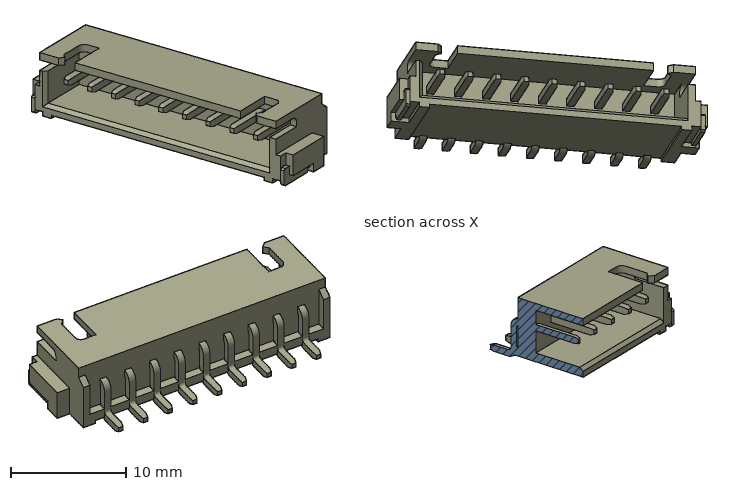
import cadquery as cq

total_width = 27.5
total_depth = 10.0
total_height = 6.0

ear_width = 1.26
body_half_width = total_width / 2 - ear_width
body_depth = 7.8
roof_depth = 7.0
wall = 0.65
roof_thickness = 0.72
roof_underside = total_height - roof_thickness
floor_underside = 0.3
floor_top = 1.2
cavity_depth = 5.05
cavity_half_width = body_half_width - wall
lead_in = 0.33
foot_width = 2.5

rear_bevel_top = 5.0
rear_bevel_bottom = 4.4

corner_radius = 0.58
side_slot_bottom = 4.3
side_slot_depth = 3.15
roof_slot_outer = body_half_width - 1.98
roof_slot_inner = body_half_width - 3.75
roof_slot_depth = 3.68
barb = 0.4

ear_length = 5.5
ear_height = 2.8
ear_notch_width = 0.77
ear_notch_depth = 0.8
ear_undercut_height = 0.82
ear_undercut_length = 3.9

tab_inner = total_width / 2 - ear_notch_width
tab_thickness = 0.38
tab_height = 1.65
tab_chamfer = 0.16
tab_rear_step_length = 0.28
tab_rear_step_height = 0.4

relief_width = 0.82

pin_count = 9
pin_pitch = 2.5
pin_size = 0.65
pin_bottom = 3.3
pin_tip = 0.47
pin_taper_length = 0.4
pin_taper = 0.1
riser_back = body_depth
bend_inner_radius = 0.28


def block(x0, x1, y0, y1, z0, z1):
    """Box between two corners."""
    return cq.Workplane("XY").box(x1 - x0, y1 - y0, z1 - z0, centered=False).translate((x0, y0, z0))


def profile_yz(points, x0, x1):
    """Prism from a closed outline of (y, z) points, running from x0 to x1."""
    return cq.Workplane("YZ").polyline(points).close().extrude(x1 - x0).translate((x0, 0, 0))


def mirrored(shape, side):
    """The shape itself on the +X side, its mirror image on the -X side."""
    return shape if side > 0 else shape.mirror("YZ")



def shell():
    """Outer block with the rear bevel, standing on two feet."""
    body = profile_yz(
        [
            (0, 0),
            (body_depth, 0),
            (body_depth, rear_bevel_bottom),
            (roof_depth, rear_bevel_top),
            (roof_depth, total_height),
            (0, total_height),
        ],
        -body_half_width,
        body_half_width,
    )
    foot_inner = total_width / 2 - foot_width
    underside_gap = block(-foot_inner, foot_inner, 0, body_depth, 0, floor_underside)
    rear_recess = block(
        -cavity_half_width, cavity_half_width, roof_depth, body_depth, floor_top, total_height
    )
    return body.cut(underside_gap).cut(rear_recess)


def cavity():
    """Mating cavity, with a lead-in along the floor and the -X wall."""
    main = block(
        -cavity_half_width, cavity_half_width, 0, cavity_depth, floor_top, roof_underside
    )
    mouth_width = 2 * cavity_half_width + lead_in
    mouth_height = side_slot_bottom - floor_top + lead_in
    mouth_centre = (-lead_in / 2, 0, side_slot_bottom - mouth_height / 2)
    mouth = (
        cq.Workplane("XZ", origin=mouth_centre)
        .rect(mouth_width, mouth_height)
        .workplane(offset=-lead_in)
        .center(lead_in / 2, lead_in / 2)
        .rect(mouth_width - lead_in, mouth_height - lead_in)
        .loft(ruled=True)
    )
    return main.union(mouth)


def side_slot():
    """Opening through both side walls under the roof, rounded at its upper rear corner."""
    return block(
        -body_half_width, body_half_width, 0, side_slot_depth, side_slot_bottom, roof_underside
    ).edges("|X and >Y and >Z").fillet(corner_radius)


def roof_slot():
    """Latch opening in the roof on the +X side, with a barb at its mouth."""
    return (
        cq.Workplane("XY")
        .moveTo(roof_slot_inner, 0)
        .lineTo(roof_slot_outer, 0)
        .lineTo(roof_slot_outer - barb, barb)
        .lineTo(roof_slot_outer, 2 * barb)
        .lineTo(roof_slot_outer, roof_slot_depth - corner_radius)
        .radiusArc((roof_slot_outer - corner_radius, roof_slot_depth), -corner_radius)
        .lineTo(roof_slot_inner, roof_slot_depth)
        .close()
        .extrude(roof_thickness)
        .translate((0, 0, roof_underside))
    )


def ear():
    """Mounting ear on the +X side, notched at the front and undercut for the solder tab."""
    outer = total_width / 2
    blank = block(body_half_width, outer, 0, ear_length, 0, ear_height)
    notch = block(tab_inner, outer, 0, ear_notch_depth, 0, ear_height)
    undercut = block(tab_inner, outer, 0, ear_undercut_length, 0, ear_undercut_height)
    return blank.cut(notch).cut(undercut)


def tab_relief():
    """Clearance under the body on the +X side, open at the front and towards the solder tab."""
    return block(
        tab_inner - relief_width, tab_inner, 0, ear_undercut_length, 0, tab_rear_step_height
    )


def pin():
    """One pin at X = 0: a contact through the rear wall, a riser behind it and a tail on the solder plane."""
    half = pin_size / 2
    contact_start = pin_tip + pin_taper_length
    contact_top = pin_bottom + pin_size
    tail_end = total_depth - pin_taper_length
    riser_front = riser_back - pin_size
    outer_radius = bend_inner_radius + pin_size
    upper_bend_y = riser_back - outer_radius
    upper_bend_z = contact_top - outer_radius
    lower_bend_y = riser_back + bend_inner_radius

    bent_bar = (
        cq.Workplane("YZ")
        .moveTo(contact_start, contact_top)
        .lineTo(upper_bend_y, contact_top)
        .radiusArc((riser_back, upper_bend_z), outer_radius)
        .lineTo(riser_back, outer_radius)
        .radiusArc((lower_bend_y, pin_size), -bend_inner_radius)
        .lineTo(tail_end, pin_size)
        .lineTo(tail_end, 0)
        .lineTo(lower_bend_y, 0)
        .radiusArc((riser_front, outer_radius), outer_radius)
        .lineTo(riser_front, upper_bend_z)
        .radiusArc((upper_bend_y, pin_bottom), -bend_inner_radius)
        .lineTo(contact_start, pin_bottom)
        .close()
        .extrude(half, both=True)
    )
    contact_tip = taper(contact_start, pin_tip, pin_bottom + half)
    tail_tip = taper(tail_end, total_depth, half)
    return bent_bar.union(contact_tip).union(tail_tip)


def taper(y_base, y_tip, z_axis):
    """Tapered square end of a pin, from its full section to its tip."""
    tip_size = pin_size - 2 * pin_taper
    return (
        cq.Workplane("XZ", origin=(0, y_base, z_axis))
        .rect(pin_size, pin_size)
        .workplane(offset=y_base - y_tip)
        .rect(tip_size, tip_size)
        .loft(ruled=True)
    )


def make_housing():
    housing = shell().cut(cavity()).cut(side_slot())
    for side in (1, -1):
        housing = housing.cut(mirrored(roof_slot(), side))
        housing = housing.union(mirrored(ear(), side))
        housing = housing.cut(mirrored(tab_relief(), side))
        housing = housing.cut(mirrored(make_solder_tab(), side))
    for i in range(pin_count):
        pin_x = (i - (pin_count - 1) / 2) * pin_pitch
        housing = housing.union(pin().translate((pin_x, 0, 0)))
    return housing



def make_solder_tab():
    """Upright plate in the +X ear, chamfered at its front and along its bottom, with a stepped rear end."""
    step_y = ear_undercut_length - tab_rear_step_length
    return profile_yz(
        [
            (0, tab_chamfer),
            (0, tab_height - tab_chamfer),
            (tab_chamfer, tab_height),
            (ear_undercut_length, tab_height),
            (ear_undercut_length, tab_rear_step_height),
            (step_y, tab_rear_step_height),
            (step_y, tab_chamfer),
            (step_y - tab_chamfer, 0),
            (tab_chamfer, 0),
        ],
        tab_inner,
        tab_inner + tab_thickness,
    )


housing = make_housing()
solder_tabs = [mirrored(make_solder_tab(), side) for side in (1, -1)]

result = cq.Compound.makeCompound([housing.val(), *[tab.val() for tab in solder_tabs]])